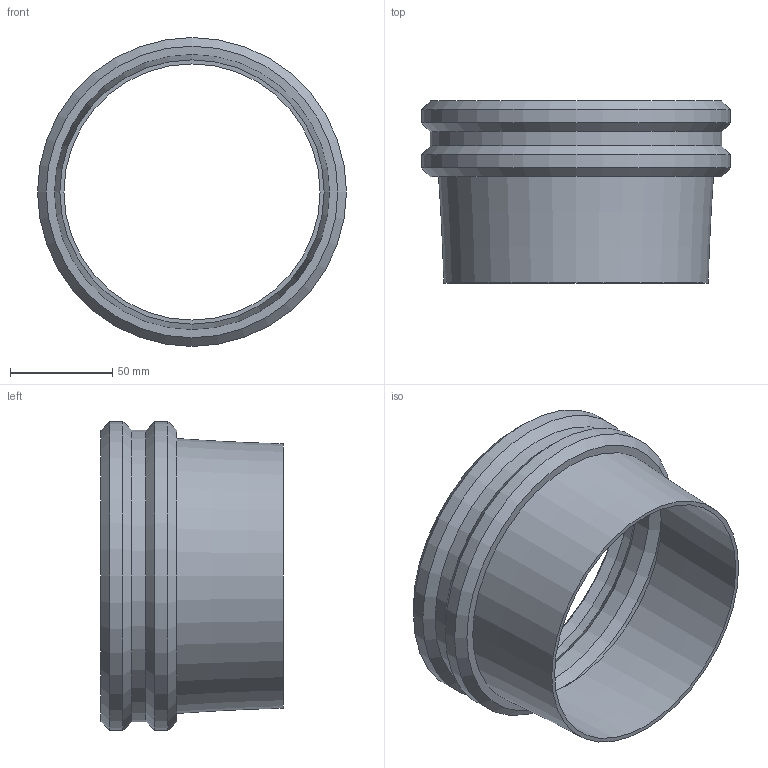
import cadquery as cq
import math

wall = 2.0
ring_radius = 151.0 / 2
groove_radius = 142.5 / 2
ring_width = 15.0
groove_width = 7.0
total_length = 89.0
flank_angle = math.radians(45)

sleeve_root_radius = 67.2
sleeve_mid_radius = 65.6
sleeve_end_radius = 64.6

ring_chamfer = ring_radius - groove_radius
bead_length = 2 * ring_width + groove_width
sleeve_length = total_length - bead_length
inner_ring_radius = ring_radius - wall
inner_groove_radius = groove_radius - wall

corner_shift = wall * math.tan(flank_angle / 2)
rim_offset = wall * math.cos(flank_angle)


def outer_ring_points(start):
    """Outside corners of a ring with 45 degree flanks, front to rear."""
    end = start + ring_width
    return [
        (groove_radius, start),
        (ring_radius, start + ring_chamfer),
        (ring_radius, end - ring_chamfer),
        (groove_radius, end),
    ]


def inner_ring_land(start):
    """Inside corners of the cylinder under a ring, front to rear."""
    front = start + ring_chamfer + corner_shift
    rear = start + ring_width - ring_chamfer - corner_shift
    return [(inner_ring_radius, front), (inner_ring_radius, rear)]


def shell_section():
    """Half section in the XY plane: X is the radius, Y runs along the axis.

    Y = 0 is the shoulder where the sleeve meets the front ring.
    """
    sleeve_front = -sleeve_length
    sleeve_middle = -sleeve_length / 2
    rear_ring_start = ring_width + groove_width

    outside = outer_ring_points(0) + outer_ring_points(rear_ring_start)

    shoulder_corner_radius = groove_radius - corner_shift
    inside = [
        (sleeve_root_radius - wall, wall),
        (shoulder_corner_radius, wall),
        *inner_ring_land(0),
        (inner_groove_radius, ring_width - corner_shift),
        (inner_groove_radius, rear_ring_start + corner_shift),
        *inner_ring_land(rear_ring_start),
        (groove_radius - rim_offset, bead_length - rim_offset),
    ]

    section = (
        cq.Workplane("XY")
        .moveTo(sleeve_end_radius, sleeve_front)
        .threePointArc((sleeve_mid_radius, sleeve_middle), (sleeve_root_radius, 0))
    )
    for radius, position in outside + inside[::-1]:
        section = section.lineTo(radius, position)
    return section.threePointArc(
        (sleeve_mid_radius - wall, sleeve_middle),
        (sleeve_end_radius - wall, sleeve_front),
    ).close()


result = shell_section().revolve(360, (0, 0, 0), (0, 1, 0))